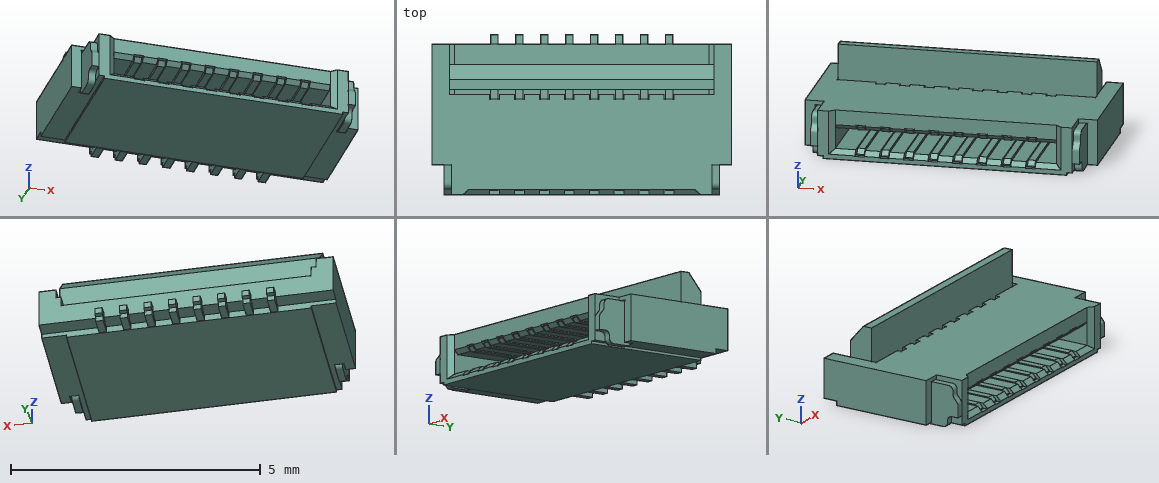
import cadquery as cq
import math


overall_width = 6.0
overall_depth = 3.21
overall_height = 1.72
housing_top = 1.01
housing_back = 3.02
front_width = 5.22
wing_front = 0.6
wing_bottom = 0.055
base_width = 4.99
back_relief_front = 2.72
back_relief_top = 0.15

cavity_width = 4.535
cavity_floor = 0.2
cavity_ceiling = 0.605
cavity_back = 1.8
mouth_side_bevel = 0.115
mouth_floor_bevel = 0.095
mouth_bevel_depth = 0.1
mouth_lip = cavity_floor - mouth_floor_bevel
roof_bevel = 0.09

lever_width = 5.305
lever_front = 2.11
lever_back = 2.61
lever_top_back = 2.305
lever_bevel_bottom = 1.36
pocket_front = 2.005
pocket_floor = 0.59
pocket_ledge = 0.805
pocket_floor_width = 5.1

contact_count = 8
contact_span = 3.5
contact_pitch = contact_span / (contact_count - 1)
contact_width = 0.15
groove_width = 0.2
lower_groove_floor = 0.09
upper_groove_top = 0.715
slot_front = 1.915
lower_beam_top = 0.21
lower_beam_front = 0.09
lower_beam_nose = 0.115
upper_beam_top = 0.68
upper_beam_front = 0.12
beam_bevel_depth = 0.09

tail_top = 0.265
tail_step_back = 3.11
tail_end_bottom = 0.115
tail_end_top = 0.245
tail_foot_front = 2.735
tail_foot_top = 0.1
tail_foot_radius = 0.035
tail_web_front = 2.905

tab_thickness = 0.15
tab_back = 0.79
tab_top = 0.905
tab_radius = 0.115
tab_foot_radius = 0.1
tab_shoulder = 0.115
tab_neck_top = 0.725
tab_nose_angle = math.radians(40)
tab_nose_radius = 0.09
tab_notch_top = 0.25
tab_notch_back = 0.245
tab_gap = 0.035
tab_top_gap = 0.02

contact_positions = [
    (i - (contact_count - 1) / 2) * contact_pitch for i in range(contact_count)
]


def block(width, y_range, z_range, x_center=0.0):
    """Box given by its width about x_center and its limits along Y and Z."""
    y0, y1 = y_range
    z0, z1 = z_range
    return cq.Workplane("XY").box(width, y1 - y0, z1 - z0).translate(
        (x_center, (y0 + y1) / 2, (z0 + z1) / 2)
    )


def extrude_profile(profile, width, x_center=0.0):
    """Extrude a closed YZ profile symmetrically about x_center."""
    return profile.extrude(width / 2, both=True).translate((x_center, 0, 0))


def prism(points, width, x_center=0.0):
    """Straight-sided YZ outline extruded along X."""
    return extrude_profile(cq.Workplane("YZ").polyline(points).close(), width, x_center)


def make_shell():
    """Outer block with wings, base pad and the relief below the back edge."""
    front = block(front_width, (0, housing_back), (wing_bottom, housing_top))
    wings = block(overall_width, (wing_front, housing_back), (wing_bottom, housing_top))
    base = block(base_width, (0, housing_back), (0, housing_top))
    relief = block(overall_width, (back_relief_front, housing_back), (0, back_relief_top))
    return front.union(wings).union(base).cut(relief)


def make_cavity():
    """Cable cavity with a bevelled mouth that is open at the top."""
    chamber = block(cavity_width, (0, cavity_back), (cavity_floor, cavity_ceiling))
    mouth_width = cavity_width + 2 * mouth_side_bevel
    mouth = (
        cq.Workplane("XZ")
        .center(0, (mouth_lip + housing_top) / 2)
        .rect(mouth_width, housing_top - mouth_lip)
        .workplane(offset=-mouth_bevel_depth)
        .center(0, mouth_floor_bevel / 2)
        .rect(cavity_width, housing_top - cavity_floor)
        .loft(ruled=True)
    )
    roof_lead_in = prism(
        [
            (mouth_bevel_depth, cavity_ceiling),
            (mouth_bevel_depth, cavity_ceiling + roof_bevel),
            (mouth_bevel_depth + roof_bevel, cavity_ceiling),
        ],
        cavity_width,
    )
    return chamber.union(mouth).union(roof_lead_in)


def make_pocket():
    """Lever pocket, open at the top and back, with a ledge at each end."""
    upper = block(lever_width, (pocket_front, housing_back), (pocket_ledge, housing_top))
    lower = block(pocket_floor_width, (pocket_front, housing_back), (pocket_floor, housing_top))
    return upper.union(lower)


def make_contact_grooves(x):
    """Floor groove, roof groove and roof opening for the contact at x."""
    floor_groove = block(groove_width, (0, cavity_back), (lower_groove_floor, cavity_floor), x)
    roof_groove = block(groove_width, (0, pocket_front), (pocket_floor, upper_groove_top), x)
    slot = block(groove_width, (slot_front, pocket_front), (pocket_floor, housing_top), x)
    return floor_groove.union(roof_groove).union(slot)


def make_contact(x):
    """Two bevelled beams and the rear solder tail of the contact at x."""
    lower_beam = prism(
        [
            (lower_beam_front, lower_groove_floor),
            (lower_beam_front, lower_beam_nose),
            (lower_beam_front + beam_bevel_depth, lower_beam_top),
            (cavity_back, lower_beam_top),
            (cavity_back, lower_groove_floor),
        ],
        contact_width,
        x,
    )
    upper_beam = prism(
        [
            (upper_beam_front, upper_beam_top),
            (upper_beam_front + beam_bevel_depth, pocket_floor),
            (lever_front, pocket_floor),
            (lever_front, upper_beam_top),
        ],
        contact_width,
        x,
    )
    tail = prism(
        [
            (tail_foot_front, 0),
            (tail_step_back, 0),
            (tail_step_back, tail_end_bottom),
            (overall_depth, tail_end_bottom),
            (overall_depth, tail_end_top),
            (housing_back, tail_top),
            (tail_web_front, tail_top),
            (tail_web_front, tail_foot_top),
            (tail_foot_front, tail_foot_top),
        ],
        contact_width,
        x,
    )
    foot_tip = cq.selectors.NearestToPointSelector((x, tail_foot_front, tail_foot_top))
    tail = tail.edges("|X").edges(foot_tip).fillet(tail_foot_radius)
    return lower_beam.union(upper_beam).union(tail)


def make_lever():
    """Upright lever with a bevelled back edge, standing on the pocket floor."""
    return prism(
        [
            (lever_front, pocket_floor),
            (lever_front, overall_height),
            (lever_top_back, overall_height),
            (lever_back, lever_bevel_bottom),
            (lever_back, pocket_floor),
        ],
        lever_width,
    )


def make_tab_recess(side):
    """Recess in the front of one wing, open at the bottom, that holds a tab."""
    width = tab_thickness + tab_gap
    x = side * (front_width + width) / 2
    return block(width, (wing_front, tab_back), (0, tab_top + tab_top_gap), x)


def make_housing():
    """Housing in one piece with the lever and the contacts."""
    housing = make_shell().cut(make_cavity()).cut(make_pocket())
    for side in (-1, 1):
        housing = housing.cut(make_tab_recess(side))
    for x in contact_positions:
        housing = housing.cut(make_contact_grooves(x)).union(make_contact(x))
    return housing.union(make_lever())


def make_tab(side):
    """Solder tab against one side of the front block."""
    sine = math.sin(tab_nose_angle)
    rise = 1 - math.cos(tab_nose_angle)
    neck_y = tab_shoulder - tab_radius * rise
    neck_z = tab_neck_top - tab_radius * sine
    nose_y = tab_nose_radius * rise
    nose_z = neck_z - (neck_y - nose_y) / math.tan(tab_nose_angle)
    profile = (
        cq.Workplane("YZ")
        .moveTo(tab_back, tab_top)
        .lineTo(tab_shoulder + tab_radius, tab_top)
        .radiusArc((tab_shoulder, tab_top - tab_radius), -tab_radius)
        .lineTo(tab_shoulder, tab_neck_top)
        .radiusArc((neck_y, neck_z), tab_radius)
        .lineTo(nose_y, nose_z)
        .radiusArc((0, nose_z - tab_nose_radius * sine), -tab_nose_radius)
        .lineTo(0, tab_notch_top)
        .lineTo(tab_notch_back - tab_foot_radius, tab_notch_top)
        .radiusArc((tab_notch_back, tab_notch_top - tab_foot_radius), tab_foot_radius)
        .lineTo(tab_notch_back, tab_foot_radius)
        .radiusArc((tab_notch_back + tab_foot_radius, 0), -tab_foot_radius)
        .lineTo(tab_back - tab_foot_radius, 0)
        .radiusArc((tab_back, tab_foot_radius), -tab_foot_radius)
        .close()
    )
    return extrude_profile(profile, tab_thickness, side * (front_width + tab_thickness) / 2)


housing = make_housing()
tabs = [make_tab(side) for side in (-1, 1)]

result = cq.Compound.makeCompound([housing.val(), *[tab.val() for tab in tabs]])